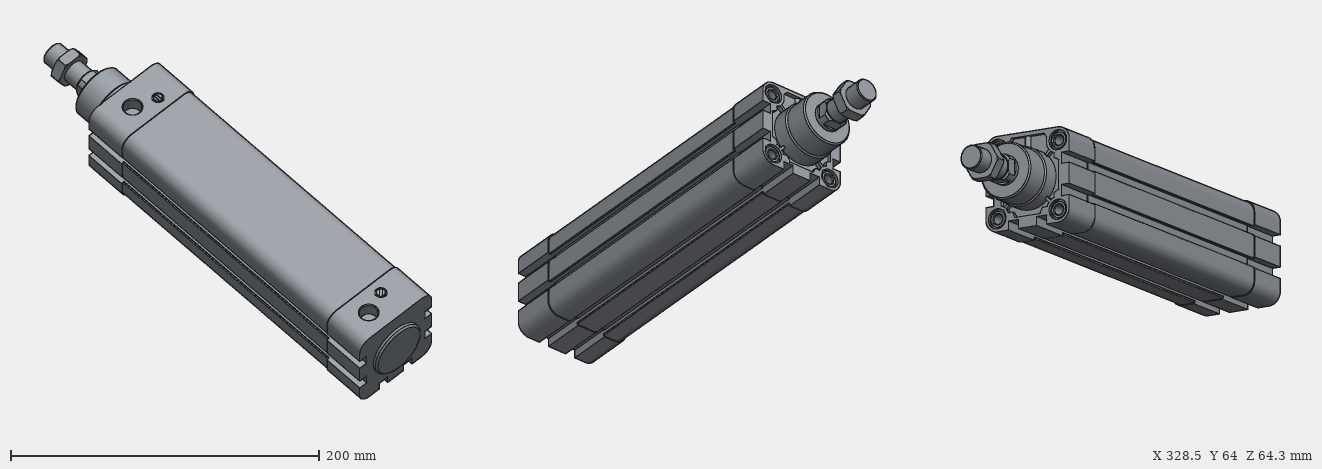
import cadquery as cq
import math

length = 328.5
nut_start = 12.0
nut_thickness = 8.0
thread_end = 32.0
flats_end = 39.0
cap_start = 41.7
collar_start = 59.0
front_block_start = 68.5
end_block_length = 31.2
rear_block_end = 325.2
front_block_end = front_block_start + end_block_length
rear_block_start = rear_block_end - end_block_length

thread_dia = 16.0
thread_chamfer = 0.5
rod_dia = 20.0
rod_chamfer = 1.3
rod_across_flats = 17.0
nut_across_flats = 23.0
nut_across_corners = nut_across_flats / math.cos(math.pi / 6)
nut_bevel = 1.0

cap_dia = 38.0
collar_dia = 40.0
edge_chamfer = 1.0
rear_boss_chamfer = 1.3

block_side = 64.0
block_corner = 9.0
barrel_side = 62.7
barrel_corner = 8.5

slot_offset = 11.0
slot_width = 7.5
block_slot_floor = 26.0
barrel_slot_floor = 26.5
slot_mouth_width = 6.0
slot_lip = 1.3

bolt_offset = 23.3
bolt_pocket_dia = 13.5
bolt_pocket_depth = 2.0
bolt_head_dia = 11.0
bolt_head_height = 1.0
bolt_thread_dia = 6.5
bolt_thread_mouth_dia = 8.0
bolt_thread_depth = 10.0

recess_depth = 3.0
recess_top = 29.2
recess_bottom = -24.3
recess_side = 24.0
recess_top_corner = (12.0, recess_top)
recess_top_shoulder = (14.5, 26.5)
recess_side_corner = (recess_side, 10.0)
recess_side_shoulder = (20.5, 11.8)
recess_bottom_shoulder = (11.5, -20.5)
recess_bottom_corner = (9.5, recess_bottom)
bolt_boss_radius = 9.0
web_width = 2.0
rib_dia = 4.0
rib_y = 1.3

top_face = block_side / 2
port_dia = 12.0
port_mouth_dia = 13.5
port_depth = 10.0
port_places = [(84.5, -8.0), (309.8, -9.5)]
screw_hole_dia = 8.0
screw_hole_depth = 1.3
screw_dia = 6.0
screw_proud = 0.3
screw_slot_width = 1.9
screw_slot_depth = 0.5
screw_places = [(90.5, 9.2, 0), (303.5, 7.2, -45)]


def x_plane(x):
    """Sketch plane across the axis at station x, with sketch axes Y and Z."""
    return cq.Workplane("YZ", origin=(x, 0, 0))


def disc(x_start, x_end, dia):
    return x_plane(x_start).circle(dia / 2).extrude(x_end - x_start)


def x_box(x_start, x_end, y_size, z_size):
    return x_plane(x_start).rect(y_size, z_size).extrude(x_end - x_start)


def turned(shape, angle):
    """The shape rotated about the cylinder axis."""
    return shape.rotate((0, 0, 0), (1, 0, 0), angle)


def slot_channel(x_start, x_end, width, inner, outer):
    """Rectangular channel on the -Z side, between two distances from the axis."""
    channel = x_box(x_start, x_end, width, outer - inner)
    return channel.translate((0, 0, -(inner + outer) / 2))


def cut_slots(bar, slot):
    """Cut the slot in pairs on the -Z, -Y and +Y sides."""
    for offset in (-slot_offset, slot_offset):
        for angle in (-90, 0, 90):
            bar = bar.cut(turned(slot.translate((0, offset, 0)), angle))
    return bar


def end_block(x_start, x_end):
    block = x_box(x_start, x_end, block_side, block_side).edges("|X").fillet(block_corner)
    slot = slot_channel(x_start, x_end, slot_width, block_slot_floor, block_side / 2)
    return cut_slots(block, slot)


def barrel(x_start, x_end):
    """Square tube whose slots narrow to a mouth between thin lips."""
    tube = x_box(x_start, x_end, barrel_side, barrel_side).edges("|X").fillet(barrel_corner)
    outer = barrel_side / 2
    cavity = slot_channel(x_start, x_end, slot_width, barrel_slot_floor, outer - slot_lip)
    mouth = slot_channel(x_start, x_end, slot_mouth_width, barrel_slot_floor, outer)
    return cut_slots(tube, cavity.union(mouth))


def front_recess():
    """Shallow cavity around the collar, kept clear of bolt bosses, webs and the round rib."""
    side_y, side_z = recess_side_shoulder
    half_outline = [
        (0, recess_top),
        recess_top_corner,
        recess_top_shoulder,
        (recess_top_shoulder[0], bolt_offset),
        (side_y, bolt_offset),
        recess_side_shoulder,
        recess_side_corner,
        (recess_side, -recess_side_corner[1]),
        (side_y, -side_z),
        (side_y, recess_bottom_shoulder[1]),
        recess_bottom_shoulder,
        recess_bottom_corner,
        (0, recess_bottom),
    ]
    floor = front_block_start + recess_depth
    half = x_plane(front_block_start).polyline(half_outline).close().extrude(recess_depth)
    cavity = half.union(half.mirror("XZ"))
    boss = disc(front_block_start, floor, 2 * bolt_boss_radius).translate((0, bolt_offset, bolt_offset))
    for angle in (0, 90, 180, 270):
        cavity = cavity.cut(turned(boss, angle))
    web = x_box(front_block_start, floor, 2 * block_side, web_width)
    for angle in (45, 135):
        cavity = cavity.cut(turned(web, angle))
    rib = cq.Workplane("XY", origin=(floor, rib_y, 0)).circle(rib_dia / 2).extrude(recess_top)
    return cavity.cut(rib)


def bolt_cavity():
    """Space around one bolt head at the front face, with the threaded hole in the head."""
    pocket_floor = front_block_start + bolt_pocket_depth
    head_face = pocket_floor - bolt_head_height
    pocket = disc(front_block_start, pocket_floor, bolt_pocket_dia)
    pocket = pocket.cut(disc(head_face, pocket_floor, bolt_head_dia))
    hole = disc(head_face, head_face + bolt_thread_depth, bolt_thread_dia)
    taper = (bolt_thread_mouth_dia - bolt_thread_dia) / 2
    mouth = x_plane(head_face).circle(bolt_thread_mouth_dia / 2)
    mouth = mouth.workplane(offset=taper).circle(bolt_thread_dia / 2).loft()
    return pocket.union(hole).union(mouth)


def port_cavity():
    """Port bore with a chamfered mouth, opening at Z = 0."""
    taper = (port_mouth_dia - port_dia) / 2
    bore = cq.Workplane("XY").circle(port_dia / 2).extrude(-port_depth)
    mouth = cq.Workplane("XY").circle(port_mouth_dia / 2)
    mouth = mouth.workplane(offset=-taper).circle(port_dia / 2).loft()
    return bore.union(mouth)


def screw_hole_and_head():
    """Hole opening at Z = 0, and the slotted screw that stands in it, slightly proud."""
    hole = cq.Workplane("XY").circle(screw_hole_dia / 2).extrude(-screw_hole_depth)
    screw = cq.Workplane("XY", origin=(0, 0, -screw_hole_depth)).circle(screw_dia / 2)
    screw = screw.extrude(screw_hole_depth + screw_proud)
    slot = cq.Workplane("XY", origin=(0, 0, screw_proud))
    slot = slot.rect(screw_dia, screw_slot_width).extrude(-screw_slot_depth)
    return hole, screw.cut(slot)


def make_housing():
    housing = barrel(front_block_end, rear_block_start).union(end_block(front_block_start, front_block_end))
    housing = housing.union(end_block(rear_block_start, rear_block_end))
    housing = housing.cut(front_recess())

    cap = disc(cap_start, collar_start, cap_dia).faces("<X").chamfer(edge_chamfer)
    collar = disc(collar_start, front_block_end, collar_dia).faces("<X").chamfer(edge_chamfer)
    rear_boss = disc(rear_block_end, length, collar_dia).faces(">X").chamfer(rear_boss_chamfer)
    housing = housing.union(cap).union(collar).union(rear_boss)

    bolt = bolt_cavity().translate((0, bolt_offset, bolt_offset))
    for angle in (0, 90, 180, 270):
        housing = housing.cut(turned(bolt, angle))
    for x, y in port_places:
        housing = housing.cut(port_cavity().translate((x, y, top_face)))
    for x, y, turn in screw_places:
        hole, screw = screw_hole_and_head()
        housing = housing.cut(hole.translate((x, y, top_face)))
        screw = screw.rotate((0, 0, 0), (0, 0, 1), turn)
        housing = housing.union(screw.translate((x, y, top_face)))

    rod_bore = disc(cap_start, front_block_end, rod_dia)
    return housing.cut(rod_bore)


def make_rod():
    thread = disc(0, thread_end, thread_dia).faces("<X").chamfer(thread_chamfer)
    shank = disc(thread_end, front_block_end, rod_dia).faces("<X").chamfer(rod_chamfer)
    flats = x_box(thread_end, flats_end, rod_across_flats, rod_across_flats)
    square = shank.intersect(flats)
    round_shank = shank.intersect(disc(flats_end, front_block_end, rod_dia))

    nut_end = nut_start + nut_thickness
    nut = x_plane(nut_start).polygon(6, nut_across_corners).extrude(nut_thickness)
    nut = nut.intersect(disc(nut_start, nut_end, nut_across_corners).faces("<X or >X").chamfer(nut_bevel))
    return thread.union(square).union(round_shank).union(nut)


housing = make_housing()
rod = make_rod()

result = cq.Compound.makeCompound([housing.val(), rod.val()])